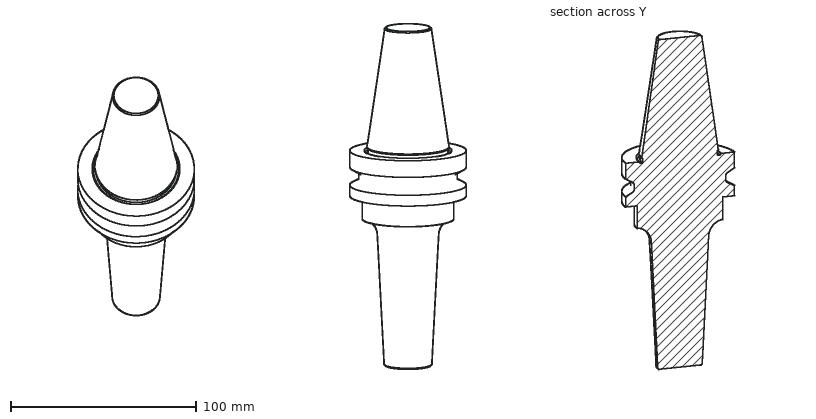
import cadquery as cq

total_length = 185.4
gauge_z = 120.0
flange_top_z = 118.0
flange_bottom_z = 93.0
collar_bottom_z = 80.5
nose_top_z = 72.1

gauge_radius = 22.2
taper_slope = 7 / 48
taper_end_radius = gauge_radius - (total_length - gauge_z) * taper_slope
taper_end_chamfer = 0.7

neck_radius = 21.7
relief_height = 0.7
undercut_radius = 23.7
undercut_floor_radius = 23.0
undercut_depth = 1.0

flange_radius = 31.5
groove_floor_radius = 26.7
groove_top_z = 108.8
groove_floor_top_z = 106.0
groove_floor_bottom_z = 101.6
groove_bottom_z = 99.0
groove_fillet = 1.0

collar_radius = 24.8
shoulder_radius = 24.1
nose_top_radius = 16.7
nose_bottom_radius = 13.0
nose_chamfer = 0.7

profile = (
    cq.Workplane("XZ")
    .lineTo(nose_bottom_radius - nose_chamfer, 0)
    .lineTo(nose_bottom_radius, nose_chamfer)
    .lineTo(nose_top_radius, nose_top_z)
    .tangentArcPoint((shoulder_radius, collar_bottom_z), relative=False)
    .lineTo(collar_radius, collar_bottom_z)
    .lineTo(collar_radius, flange_bottom_z)
    .lineTo(flange_radius, flange_bottom_z)
    .lineTo(flange_radius, groove_bottom_z)
    .lineTo(groove_floor_radius, groove_floor_bottom_z)
    .lineTo(groove_floor_radius, groove_floor_top_z)
    .lineTo(flange_radius, groove_top_z)
    .lineTo(flange_radius, flange_top_z)
    .lineTo(undercut_radius, flange_top_z)
    .lineTo(undercut_floor_radius, flange_top_z - undercut_depth)
    .lineTo(neck_radius, flange_top_z - undercut_depth)
    .lineTo(neck_radius, gauge_z - relief_height)
    .lineTo(gauge_radius, gauge_z)
    .lineTo(taper_end_radius, total_length - taper_end_chamfer)
    .lineTo(taper_end_radius - taper_end_chamfer, total_length)
    .lineTo(0, total_length)
    .close()
)
body = profile.revolve(360, (0, 0, 0), (0, 1, 0))

margin = 0.2
groove_corners = cq.selectors.BoxSelector(
    (-margin, -margin, groove_floor_bottom_z - margin),
    (margin, margin, groove_floor_top_z + margin),
)
result = body.edges(groove_corners).fillet(groove_fillet)